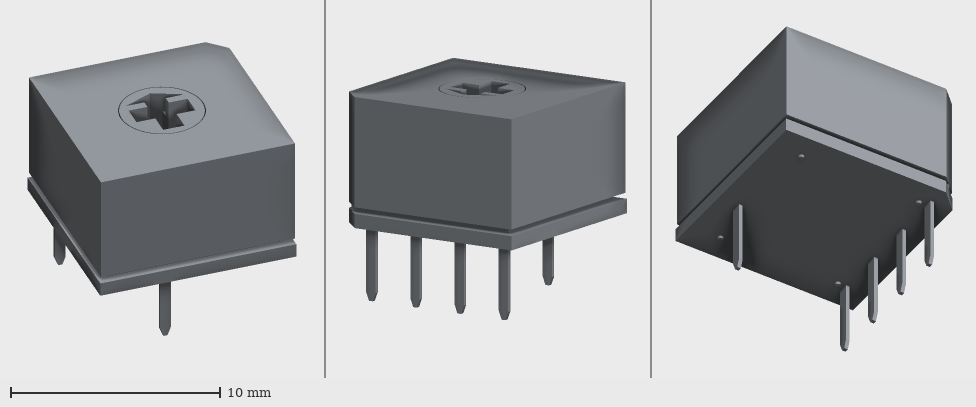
import cadquery as cq

TOTAL_HEIGHT = 10.15
COVER_HEIGHT = 5.4
NECK_HEIGHT = 0.3
BASE_HEIGHT = 0.7
BASE_SIDE = 10.0
COVER_SIDE = 9.9
NECK_SIDE = 9.05
CORNER_CUT = 0.99

PIN_ROW_X = 3.81
PIN_PITCH = 2.54
PINS_PER_ROW = 4
PIN_WIDTH = 0.54
PIN_THICKNESS = 0.2
PIN_TIP_WIDTH = 0.2
PIN_TAPER_LENGTH = 0.43

BUMP_X = 3.31
BUMP_Y = 3.65
BUMP_TOP_RADIUS = 0.16
BUMP_BOTTOM_RADIUS = 0.11
BUMP_HEIGHT = 0.1

ROTOR_DIAMETER = 4.1
ROTOR_HOLE_DIAMETER = 4.2
ROTOR_HEIGHT = COVER_HEIGHT
SLOT_WIDTH = 1.09
CROSS_SPAN = 3.0
SHAFT_END_X = 1.62
ARROWHEAD_BACK_X = -0.96
CROSS_DEPTH = 2.03
ARROWHEAD_DEPTH = 1.02

COVER_BOTTOM = TOTAL_HEIGHT - COVER_HEIGHT
BASE_TOP = COVER_BOTTOM - NECK_HEIGHT
BASE_BOTTOM = BASE_TOP - BASE_HEIGHT

FIRST_PIN_Y = -(PINS_PER_ROW - 1) * PIN_PITCH / 2
COMMON_PIN_Y = -PIN_PITCH / 2
PIN_PLACES = [(-PIN_ROW_X, FIRST_PIN_Y + i * PIN_PITCH) for i in range(PINS_PER_ROW)]
PIN_PLACES.append((PIN_ROW_X, COMMON_PIN_Y))


def sunk_from_top(depth):
    """Workplane from which an extrusion of this depth reaches the top face."""
    return cq.Workplane("XY").workplane(offset=TOTAL_HEIGHT - depth)


def square_plate(side, bottom, height):
    return cq.Workplane("XY").workplane(offset=bottom).rect(side, side).extrude(height)


def corner_wedge():
    """Prism that removes the (-X, +Y) corner of the whole housing."""
    edge = BASE_SIDE / 2
    return (
        cq.Workplane("XY")
        .workplane(offset=BASE_BOTTOM)
        .polyline([(-edge, edge), (-edge, edge - CORNER_CUT), (-edge + CORNER_CUT, edge)])
        .close()
        .extrude(TOTAL_HEIGHT - BASE_BOTTOM)
    )


def pin(x, y):
    """Flat pin with a tapered tip, hanging from the base plate."""
    half_width = PIN_WIDTH / 2
    half_tip = PIN_TIP_WIDTH / 2
    return (
        cq.Workplane("YZ")
        .workplane(offset=x - PIN_THICKNESS / 2)
        .polyline([
            (y - half_width, BASE_BOTTOM),
            (y - half_width, PIN_TAPER_LENGTH),
            (y - half_tip, 0),
            (y + half_tip, 0),
            (y + half_width, PIN_TAPER_LENGTH),
            (y + half_width, BASE_BOTTOM),
        ])
        .close()
        .extrude(PIN_THICKNESS)
    )


def bump(x, y):
    """Small truncated cone under the base plate."""
    return (
        cq.Workplane("XY", origin=(x, y, BASE_BOTTOM))
        .circle(BUMP_TOP_RADIUS)
        .workplane(offset=-BUMP_HEIGHT)
        .circle(BUMP_BOTTOM_RADIUS)
        .loft()
    )


def make_housing():
    """Base plate, neck and cover with pins and bumps, bored for the rotor."""
    body = square_plate(BASE_SIDE, BASE_BOTTOM, BASE_HEIGHT)
    body = body.union(square_plate(NECK_SIDE, BASE_TOP, NECK_HEIGHT))
    body = body.union(square_plate(COVER_SIDE, COVER_BOTTOM, COVER_HEIGHT))
    body = body.cut(corner_wedge())

    rotor_hole = sunk_from_top(ROTOR_HEIGHT).circle(ROTOR_HOLE_DIAMETER / 2).extrude(ROTOR_HEIGHT)
    body = body.cut(rotor_hole)

    for x, y in PIN_PLACES:
        body = body.union(pin(x, y))
    for x in (-BUMP_X, BUMP_X):
        for y in (-BUMP_Y, BUMP_Y):
            body = body.union(bump(x, y))
    return body


def make_rotor():
    """Plain disc with an arrow-shaped cross recess pointing to -X."""
    disc = sunk_from_top(ROTOR_HEIGHT).circle(ROTOR_DIAMETER / 2).extrude(ROTOR_HEIGHT)

    half_slot = SLOT_WIDTH / 2
    half_span = CROSS_SPAN / 2
    tip_slope = (SHAFT_END_X + ARROWHEAD_BACK_X) / half_span
    shoulder_x = -SHAFT_END_X + tip_slope * half_slot
    shaft = (
        sunk_from_top(CROSS_DEPTH)
        .polyline([
            (-SHAFT_END_X, 0),
            (shoulder_x, -half_slot),
            (SHAFT_END_X, -half_slot),
            (SHAFT_END_X, half_slot),
            (shoulder_x, half_slot),
        ])
        .close()
        .extrude(CROSS_DEPTH)
    )
    cross_arm = sunk_from_top(CROSS_DEPTH).rect(SLOT_WIDTH, CROSS_SPAN).extrude(CROSS_DEPTH)
    arrowhead = (
        sunk_from_top(ARROWHEAD_DEPTH)
        .polyline([
            (-SHAFT_END_X, 0),
            (ARROWHEAD_BACK_X, -half_span),
            (ARROWHEAD_BACK_X, half_span),
        ])
        .close()
        .extrude(ARROWHEAD_DEPTH)
    )
    return disc.cut(shaft).cut(cross_arm).cut(arrowhead)


housing = make_housing()
rotor = make_rotor()
result = cq.Compound.makeCompound([*housing.solids().vals(), *rotor.solids().vals()])